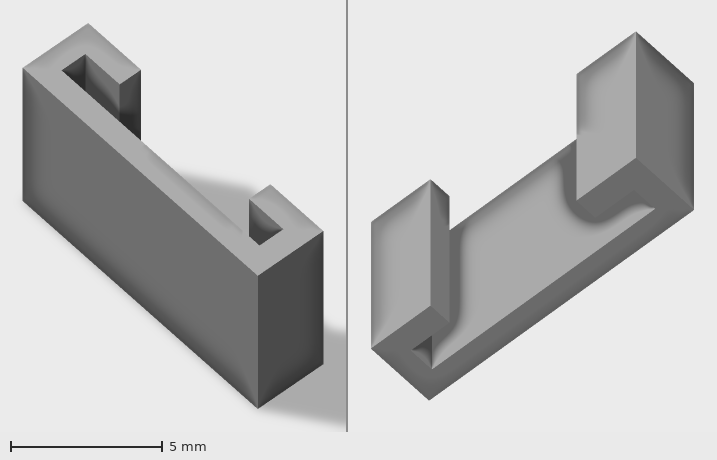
import cadquery as cq

length = 11.77
depth = 2.88
height = 7.0

side_wall = 0.93
front_wall = 0.9
lip_thickness = 0.94
lip_length = 2.65

cavity_length = length - 2 * side_wall
cavity_depth = depth - front_wall - lip_thickness
mouth_width = length - 2 * lip_length


def channel_block():
    """Solid block with its front face on Y = 0 and its base on Z = 0."""
    return cq.Workplane("XY").box(length, depth, height, centered=(True, False, False))


def cavity():
    """Full-height space between the front wall and the lips."""
    space = cq.Workplane("XY").box(cavity_length, cavity_depth, height, centered=(True, False, False))
    return space.translate((0, front_wall, 0))


def mouth():
    """Full-height opening between the two lips."""
    opening = cq.Workplane("XY").box(mouth_width, depth - front_wall, height, centered=(True, False, False))
    return opening.translate((0, front_wall, 0))


result = channel_block().cut(cavity()).cut(mouth())